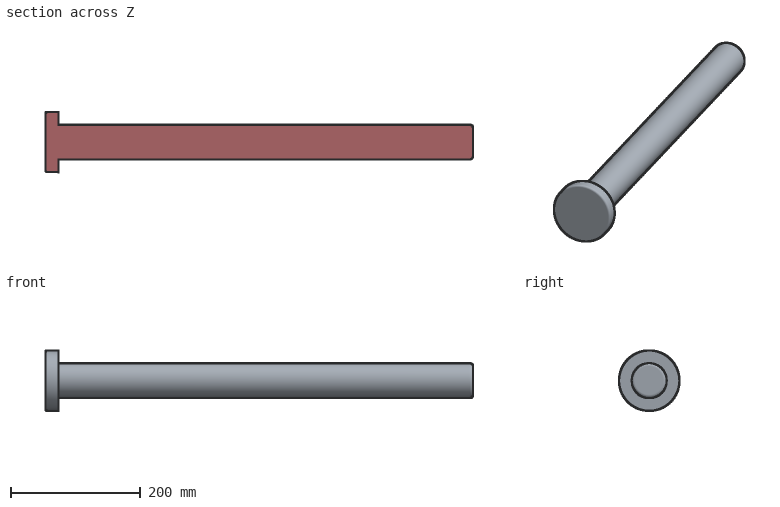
import cadquery as cq

total_length = 660.0
head_diameter = 94.0
head_length = 20.5
shank_diameter = 54.0
head_fillet = 3.0
tip_fillet = 4.95

head = (
    cq.Workplane("YZ")
    .circle(head_diameter / 2)
    .extrude(head_length)
    .faces("<X")
    .edges()
    .fillet(head_fillet)
)

shank = (
    cq.Workplane("YZ")
    .circle(shank_diameter / 2)
    .extrude(total_length)
    .faces(">X")
    .edges()
    .fillet(tip_fillet)
)

result = head.union(shank)